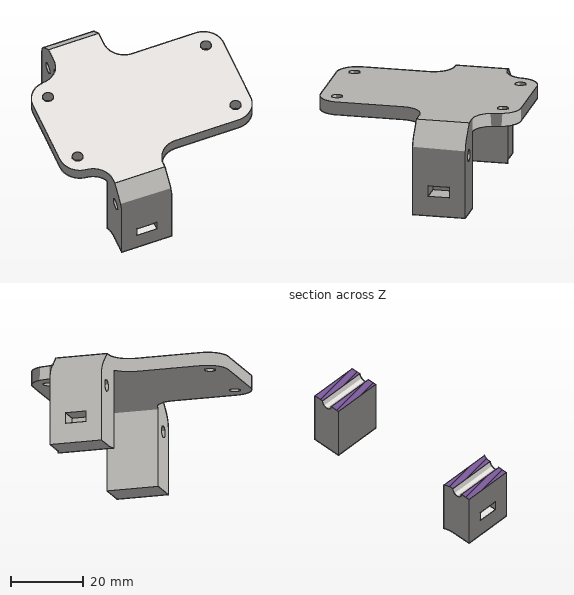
import cadquery as cq
import math

LENGTH_X = 59.3
LENGTH_Y = 57.0
HEIGHT = 26.25

PLATE_THICKNESS = 3.8
LEG_THICKNESS = 9.15
SHOULDER_CHAMFER = 5.1
SHOULDER_RADIUS = 6.0
INNER_CORNER_RADIUS = 0.6
ARM_WIDTH = 15.0
ARM_FRONT_SETBACK = 11.1

PLATE_WIDTH = 32.0
PLATE_CENTER_X = 1.3
BLEND_RADIUS = 6.0
PLATE_HOLE_DIAMETER = 3.0
PLATE_HOLE_SPACING_X = 21.95
PLATE_HOLE_EDGE_DISTANCE = 4.9

LEG_HOLE_DIAMETER = 3.2
LEG_HOLE_EDGE_DISTANCE = 4.6
LEG_HOLE_DROP = 9.35
SLOT_WIDTH = 6.0
SLOT_HEIGHT = 3.0
SLOT_DEPTH = 6.0
SLOT_CENTER_Z = 7.25

half_x = LENGTH_X / 2
half_y = LENGTH_Y / 2
arm_front_y = -half_y + ARM_FRONT_SETBACK
arm_back_y = arm_front_y + ARM_WIDTH
arm_center_y = (arm_front_y + arm_back_y) / 2


def make_bridge():
    """Front profile of the plate and legs, extruded over the full length in Y."""
    outer = cq.Workplane("XY").box(LENGTH_X, LENGTH_Y, HEIGHT, centered=(True, True, False))
    outer = outer.edges("|Y and >Z").chamfer(SHOULDER_CHAMFER)
    shoulder_z = HEIGHT - SHOULDER_CHAMFER
    for side in (-1, 1):
        shoulder = cq.selectors.NearestToPointSelector((side * half_x, 0, shoulder_z))
        outer = outer.edges("|Y").edges(shoulder).fillet(SHOULDER_RADIUS)
    opening = cq.Workplane("XY").box(
        LENGTH_X - 2 * LEG_THICKNESS,
        LENGTH_Y,
        HEIGHT - PLATE_THICKNESS,
        centered=(True, True, False),
    )
    opening = opening.edges("|Y and >Z").fillet(INNER_CORNER_RADIUS)
    return outer.cut(opening)


def make_half_plan(side):
    """One side of the plan outline, from the plate centreline out to the arm end."""
    r = BLEND_RADIUS
    diagonal = r * math.sqrt(0.5)
    half_width = PLATE_WIDTH / 2
    arm_reach = half_x - side * PLATE_CENTER_X

    corner_u = half_width - r
    corner_v = -half_y + r
    blend_v = arm_front_y - r
    blend_u = corner_u + math.sqrt((2 * r) ** 2 - (corner_v - blend_v) ** 2)
    meeting_u = (corner_u + blend_u) / 2
    meeting_v = (corner_v + blend_v) / 2
    back_blend_u = half_width + r
    back_blend_v = arm_back_y + r

    def place(u, v):
        return (PLATE_CENTER_X + side * u, v)

    return (
        cq.Workplane("XY")
        .moveTo(*place(0, -half_y))
        .lineTo(*place(corner_u, -half_y))
        .threePointArc(place(corner_u + diagonal, corner_v - diagonal), place(meeting_u, meeting_v))
        .threePointArc(place(blend_u - diagonal, blend_v + diagonal), place(blend_u, arm_front_y))
        .lineTo(*place(arm_reach, arm_front_y))
        .lineTo(*place(arm_reach, arm_back_y))
        .lineTo(*place(back_blend_u, arm_back_y))
        .threePointArc(
            place(back_blend_u - diagonal, back_blend_v - diagonal),
            place(half_width, back_blend_v),
        )
        .lineTo(*place(half_width, half_y - r))
        .threePointArc(
            place(corner_u + diagonal, half_y - r + diagonal),
            place(corner_u, half_y),
        )
        .lineTo(*place(0, half_y))
        .close()
        .extrude(HEIGHT)
    )


def make_plate_holes():
    spacing_y = LENGTH_Y - 2 * PLATE_HOLE_EDGE_DISTANCE
    return (
        cq.Workplane("XY")
        .center(PLATE_CENTER_X, 0)
        .rect(PLATE_HOLE_SPACING_X, spacing_y, forConstruction=True)
        .vertices()
        .circle(PLATE_HOLE_DIAMETER / 2)
        .extrude(HEIGHT)
    )


def make_leg_holes():
    hole_x = half_x - LEG_HOLE_EDGE_DISTANCE
    hole_z = HEIGHT - LEG_HOLE_DROP
    return (
        cq.Workplane("XZ")
        .pushPoints([(-hole_x, hole_z), (hole_x, hole_z)])
        .circle(LEG_HOLE_DIAMETER / 2)
        .extrude(half_y, both=True)
    )


def make_slot(side):
    slot_x = side * (half_x - SLOT_DEPTH / 2)
    slot = cq.Workplane("XY").box(SLOT_DEPTH, SLOT_WIDTH, SLOT_HEIGHT)
    return slot.translate((slot_x, arm_center_y, SLOT_CENTER_Z))


plan = make_half_plan(-1).union(make_half_plan(1))
result = make_bridge().intersect(plan).cut(make_plate_holes()).cut(make_leg_holes())
for leg_side in (-1, 1):
    result = result.cut(make_slot(leg_side))
result = result.clean()